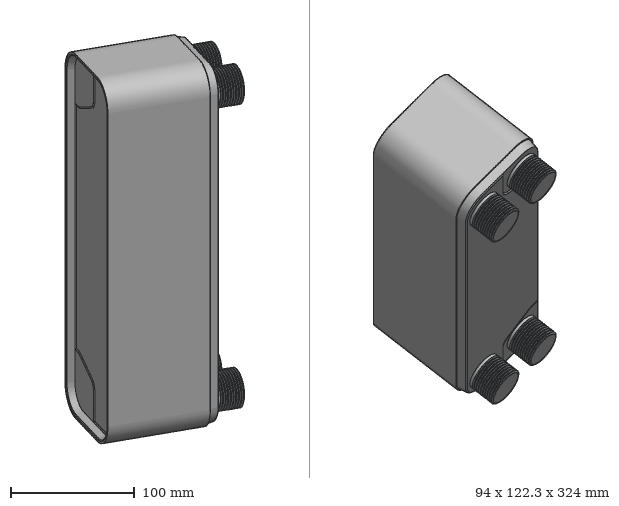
import cadquery as cq
import math

width = 94.0
height = 324.0
corner_radius = 22.7
wall_end = 89.0

plate_inset_base = 1.3
plate_inset_face = 3.0
plate_face = 97.0

rim_width = 2.0
bevel_width = 1.0
bevel_depth = 0.5
recess_inset = 5.0
recess_depth = 6.8

front_step = 0.5
back_step = 1.0
step_run = 1.3
panel_edge_x = -1.5
panel_shoulder_z = 123.8
panel_side_x = -34.0
panel_side_z = 109.5
panel_bend_radius = 8.7

connector_x = 23.3
connector_z = 135.0
connector_length = 24.3
thread_diameter = 33.5
thread_pitch = 2.3
thread_depth = 1.5
thread_flat = 0.5
thread_turns = 10


def rounded_outline(inset, y):
    """Housing outline moved inward by inset, as a wire in the plane at y."""
    block = (
        cq.Workplane("XZ", origin=(0, y, 0))
        .rect(width - 2 * inset, height - 2 * inset)
        .extrude(-3.2)
        .edges("|Y")
        .fillet(corner_radius - inset)
    )
    return block.faces("<Y").wires().val()


def drafted_block(inset_start, y_start, inset_end, y_end):
    """Solid between two rounded outlines."""
    start = rounded_outline(inset_start, y_start)
    end = rounded_outline(inset_end, y_end)
    return cq.Workplane(cq.Solid.makeLoft([start, end], True))


def main_panel(inset, y, step_height):
    """Panel with both -X corners cut away, narrowing toward +Y by one step."""
    side = width / 2 - inset
    end = height / 2 - inset
    block = (
        cq.Workplane("XZ", origin=(0, y, 0))
        .polyline([
            (side, end),
            (panel_edge_x, end),
            (panel_edge_x, panel_shoulder_z),
            (panel_side_x, panel_side_z),
            (-side, panel_side_z),
            (-side, -panel_side_z),
            (panel_side_x, -panel_side_z),
            (panel_edge_x, -panel_shoulder_z),
            (panel_edge_x, -end),
            (side, -end),
        ])
        .close()
        .extrude(-3.2)
    )
    block = block.edges("|Y and >X").fillet(corner_radius - inset)
    bends = cq.selectors.BoxSelector(
        (panel_side_x - step_run, y - 3.2, -panel_shoulder_z - step_run),
        (panel_edge_x + step_run, y + 6.5, panel_shoulder_z + step_run),
    )
    block = block.edges("|Y").edges(bends).fillet(panel_bend_radius)
    step_angle = math.degrees(math.atan2(step_run, step_height))
    outline = block.faces("<Y").wires().val()
    return cq.Workplane(cq.Solid.extrudeLinear(outline, [], cq.Vector(0, step_height, 0), step_angle))


def make_housing():
    wall = drafted_block(0, 0, 0, wall_end)
    plate = drafted_block(plate_inset_base, wall_end, plate_inset_face, plate_face)
    body = wall.union(plate).union(main_panel(plate_inset_face, plate_face, back_step))

    wall_inset = rim_width + bevel_width
    bevel = drafted_block(rim_width, 0, wall_inset, bevel_depth)
    recess = drafted_block(wall_inset, bevel_depth, recess_inset, recess_depth)
    return body.cut(bevel).cut(recess).cut(main_panel(recess_inset, recess_depth, front_step))


def make_connector(x, y, z):
    """Ring-grooved cylinder along +Y with its base centre at (x, y, z)."""
    crest = thread_diameter / 2
    root = crest - thread_depth
    tip = connector_length
    thread_start = tip - thread_turns * thread_pitch
    half_flat = thread_flat / 2
    half_pitch = thread_pitch / 2
    profile = [(0, 0), (crest, 0)]
    for turn in range(thread_turns):
        crest_y = thread_start + (turn + 0.5) * thread_pitch
        root_y = crest_y + half_pitch
        if turn > 0:
            profile.append((crest, crest_y - half_flat))
        profile.append((crest, crest_y + half_flat))
        profile.append((root, root_y - half_flat))
        if turn < thread_turns - 1:
            profile.append((root, root_y + half_flat))
    profile.append((root, tip))
    profile.append((0, tip))

    connector = cq.Workplane("XY").polyline(profile).close().revolve(360, (0, 0, 0), (0, 1, 0))
    return connector.translate((x, y, z))


housing = make_housing()

connectors = []
for side_x, base_y in [(-connector_x, plate_face), (connector_x, plate_face + back_step)]:
    for side_z in (-connector_z, connector_z):
        connectors.append(make_connector(side_x, base_y, side_z).val())

result = cq.Compound.makeCompound([housing.val(), *connectors])